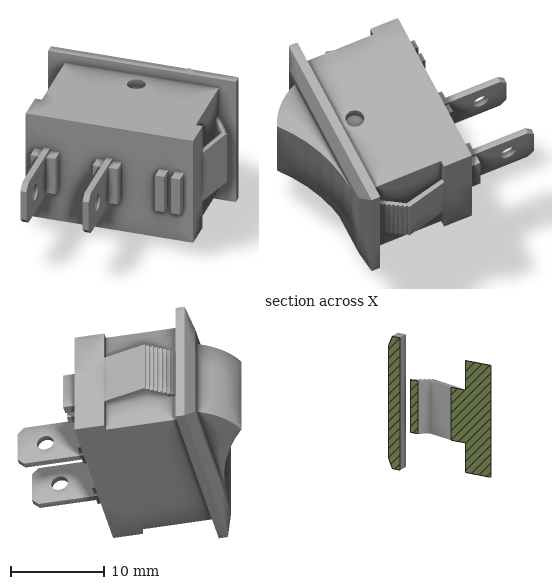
import cadquery as cq


overall_length = 25.3
overall_width = 21.3

bezel_width = 21.12
bezel_height = 15.0
bezel_rim = 1.0
bezel_taper_depth = 0.73
bezel_taper_inset = 1.75
bezel_depth = bezel_rim + bezel_taper_depth

housing_height = 12.7
neck_width = 17.3
neck_depth = 8.07
base_width = 18.82
base_depth = 3.25
housing_depth = neck_depth + base_depth

pivot_diameter = 2.02
pivot_depth = 1.0
pivot_setback = 1.9

rocker_height = 9.35
rocker_rise = 3.92
rocker_left = -6.85
rocker_right = 7.44
ridge_x = 3.52
press_face_mid = (-1.26, bezel_depth + 1.11)
end_face_mid = (5.95, bezel_depth + 2.28)

clip_height = 6.02
step_count = 8
first_step_setback = 0.43
stepped_depth = 2.9
step_pitch = stepped_depth / (step_count - 1)
leaf_inner_top_setback = 1.11
leaf_inner_knee = 0.55
leaf_foot_thickness = 0.48

station_pitch = 7.0
rib_gap = 0.75
rib_width = 1.0
rib_height = 4.38
rib_depth = 1.47

blade_thickness = 0.68
blade_height = 4.95
blade_length = overall_length - rocker_rise - bezel_depth - housing_depth
blade_chamfer = 0.73
blade_hole_diameter = 1.82
blade_hole_setback = 5.25

rear_y = -housing_depth


def block(width, depth, height, x, front_y):
    """Box centred on x and on Z = 0, running back from front_y."""
    return cq.Workplane("XY").box(width, depth, height).translate((x, front_y - depth / 2, 0))


def prism(profile, height):
    """Extrude a closed XY profile equally to both sides of Z = 0."""
    return profile.extrude(height / 2, both=True)


def make_bezel():
    rim = block(bezel_width, bezel_rim, bezel_height, 0, bezel_rim)
    taper = (
        cq.Workplane("XZ", origin=(0, bezel_rim, 0))
        .rect(bezel_width, bezel_height)
        .workplane(offset=-bezel_taper_depth)
        .rect(bezel_width - 2 * bezel_taper_inset, bezel_height - 2 * bezel_taper_inset)
        .loft(ruled=True)
    )
    return rim.union(taper)


def make_housing():
    neck = block(neck_width, neck_depth, housing_height, 0, 0)
    base = block(base_width, base_depth, housing_height, 0, -neck_depth)
    pivot_hole = (
        cq.Workplane("XY", origin=(0, -pivot_setback, housing_height / 2))
        .circle(pivot_diameter / 2)
        .extrude(-pivot_depth)
    )
    return neck.union(base).cut(pivot_hole)


def make_rocker():
    profile = (
        cq.Workplane("XY")
        .moveTo(rocker_left, bezel_depth)
        .threePointArc(press_face_mid, (ridge_x, bezel_depth + rocker_rise))
        .threePointArc(end_face_mid, (rocker_right, bezel_depth))
        .lineTo(rocker_right, bezel_rim)
        .lineTo(rocker_left, bezel_rim)
        .close()
    )
    return prism(profile, rocker_height)


def make_right_clip():
    wall_x = neck_width / 2
    knee_x = overall_width / 2
    step_width = (knee_x - wall_x) / step_count
    knee_y = -first_step_setback - stepped_depth

    outline = cq.Workplane("XY").moveTo(wall_x, -leaf_inner_top_setback)
    for step in range(step_count):
        step_y = -first_step_setback - step * step_pitch
        outline = outline.lineTo(wall_x + step * step_width, step_y)
        outline = outline.lineTo(wall_x + (step + 1) * step_width, step_y)
    outline = (
        outline.lineTo(base_width / 2, -neck_depth)
        .lineTo(base_width / 2 - leaf_foot_thickness, -neck_depth)
        .lineTo(knee_x - leaf_inner_knee, knee_y)
        .close()
    )
    return prism(outline, clip_height)


def make_ribs(station_x):
    rib_offset = (rib_gap + rib_width) / 2
    left_rib = block(rib_width, rib_depth, rib_height, station_x - rib_offset, rear_y)
    right_rib = block(rib_width, rib_depth, rib_height, station_x + rib_offset, rear_y)
    return left_rib.union(right_rib)


def make_blade(station_x):
    blade = block(blade_thickness, blade_length, blade_height, station_x, rear_y)
    blade = blade.faces("<Y").edges("|X").chamfer(blade_chamfer)
    hole = (
        cq.Workplane("YZ", origin=(station_x, rear_y - blade_hole_setback, 0))
        .circle(blade_hole_diameter / 2)
        .extrude(blade_thickness, both=True)
    )
    return blade.cut(hole)


right_clip = make_right_clip()
left_clip = right_clip.mirror("YZ")

result = make_housing().union(make_bezel()).union(make_rocker())
result = result.union(right_clip).union(left_clip)
for station_x in (-station_pitch, 0, station_pitch):
    result = result.union(make_ribs(station_x))
for station_x in (-station_pitch, 0):
    result = result.union(make_blade(station_x))